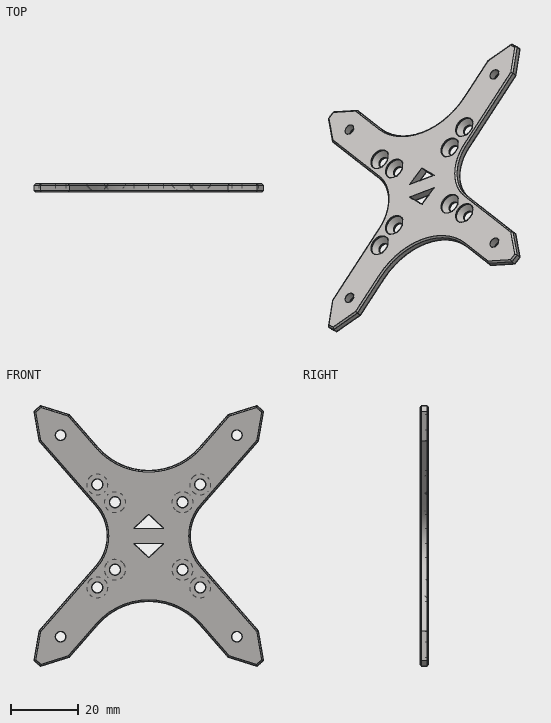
import cadquery as cq
import math

thickness = 2.5
edge_chamfer = 0.5

end_hole_x = 26.12
end_hole_z = 29.86
arm_half_width = 5.95
shoulder_past_hole = 2.9
tip_past_hole = 10.52
tip_half_width = 1.3

top_notch_radius = 20.0
side_notch_radius = 13.5

end_hole_diameter = 3.05
inner_hole_offset = 10.0
outer_hole_offset = 15.25
countersunk_hole_diameter = 3.2
head_diameter = 6.2
head_recess_depth = 0.5
front_land = 0.5

window_base_z = 2.25
window_apex_z = 6.4
window_half_base = 4.4

arm_angle = math.atan2(end_hole_z, end_hole_x)
end_hole_distance = math.hypot(end_hole_x, end_hole_z)
shoulder_distance = end_hole_distance + shoulder_past_hole
tip_distance = end_hole_distance + tip_past_hole


def arm_point(along, across):
    """Point on the upper right arm: along its centreline, then across it towards +Z."""
    x = along * math.cos(arm_angle) - across * math.sin(arm_angle)
    z = along * math.sin(arm_angle) + across * math.cos(arm_angle)
    return (x, z)


def mirrored_to_quadrants(x, z):
    return [(x, z), (-x, z), (-x, -z), (x, -z)]


def extruded(sketch):
    """Extrude an XZ sketch through the plate thickness, centred on y = 0."""
    return sketch.extrude(thickness).translate((0, thickness / 2, 0))


def make_plate():
    side_corner = (arm_half_width / math.sin(arm_angle), 0)
    top_corner = (0, arm_half_width / math.cos(arm_angle))

    upper_right = [
        arm_point(shoulder_distance, -arm_half_width),
        arm_point(tip_distance, -tip_half_width),
        arm_point(tip_distance, tip_half_width),
        arm_point(shoulder_distance, arm_half_width),
    ]
    upper_left = [(-x, z) for x, z in reversed(upper_right)]
    upper_half = [side_corner] + upper_right + [top_corner] + upper_left
    lower_half = [(-x, -z) for x, z in upper_half]

    plate = extruded(cq.Workplane("XZ").polyline(upper_half + lower_half).close())
    for axis_x, axis_z, radius in [
        (*side_corner, side_notch_radius),
        (*top_corner, top_notch_radius),
    ]:
        for sign in (1, -1):
            corner_edge = cq.selectors.NearestToPointSelector((sign * axis_x, 0, sign * axis_z))
            plate = plate.edges("|Y").edges(corner_edge).fillet(radius)
    return plate.faces("<Y or >Y").edges().chamfer(edge_chamfer)


def cut_holes(plate, offset_x, offset_z, diameter):
    centres = mirrored_to_quadrants(offset_x, offset_z)
    return plate.cut(extruded(cq.Workplane("XZ").pushPoints(centres).circle(diameter / 2)))


def cut_countersinks(plate, offset):
    """Countersinks in the back (+Y) face: a cone opening up to a short straight head recess."""
    back_y = thickness / 2
    land_y = -thickness / 2 + front_land
    recess_y = back_y - head_recess_depth
    half_profile = [
        (0, land_y),
        (countersunk_hole_diameter / 2, land_y),
        (head_diameter / 2, recess_y),
        (head_diameter / 2, back_y),
        (0, back_y),
    ]
    cutter = cq.Workplane("XY").polyline(half_profile).close().revolve(360, (0, 0), (0, 1))
    for x, z in mirrored_to_quadrants(offset, offset):
        plate = plate.cut(cutter.translate((x, 0, z)))
    return plate


def cut_windows(plate):
    for sign in (1, -1):
        corners = [
            (-window_half_base, sign * window_base_z),
            (window_half_base, sign * window_base_z),
            (0, sign * window_apex_z),
        ]
        plate = plate.cut(extruded(cq.Workplane("XZ").polyline(corners).close()))
    return plate


result = make_plate()
result = cut_holes(result, end_hole_x, end_hole_z, end_hole_diameter)
for hole_offset in (inner_hole_offset, outer_hole_offset):
    result = cut_holes(result, hole_offset, hole_offset, countersunk_hole_diameter)
    result = cut_countersinks(result, hole_offset)
result = cut_windows(result)